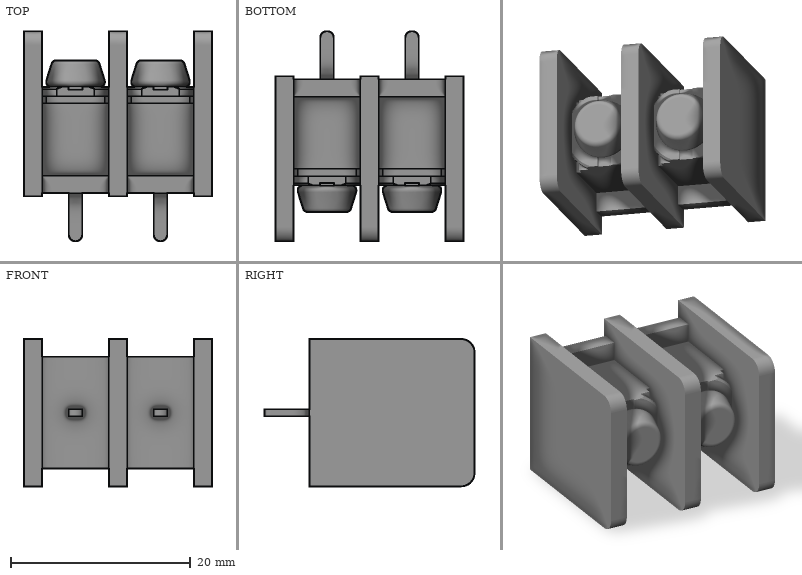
import cadquery as cq

pole_count = 2
pitch = 9.5
wall_thickness = 2.02
wall_depth = 18.47
wall_height = 16.5
wall_corner_radius = 1.53
gap_width = pitch - wall_thickness
total_width = pole_count * pitch + wall_thickness

flange_front = 0.35
flange_back = 2.33
flange_height = 12.5
core_back = 10.39
core_height = 8.18

plate_width = 6.49
plate_thickness = 0.8
plate_back = core_back + plate_thickness
ledge_height = 5.65
pin_width = 1.53
pin_thickness = 0.8
pin_length = 5.03

washer_radius = 4.6
washer_thickness = 1.03
washer_edge_chamfer = 0.24
washer_back = plate_back + washer_thickness
slot_width = pin_width
slot_depth = 0.25
head_height = 2.98
head_base_radius = 3.5
head_top_radius = 2.55
head_edge_radius = 0.56

wall_positions = [(i - pole_count / 2) * pitch for i in range(pole_count + 1)]
pole_positions = [(i - (pole_count - 1) / 2) * pitch for i in range(pole_count)]


def block(x_center, width, y_front, y_back, height):
    """Box centred on X and Z that spans Y from y_front to y_back."""
    y_center = (y_front + y_back) / 2
    return cq.Workplane("XY").box(width, y_back - y_front, height).translate((x_center, y_center, 0))


def disc_plane(x_center, y):
    """Plane at the given Y whose normal points toward +Y."""
    return cq.Workplane(cq.Plane(origin=(x_center, y, 0), xDir=(1, 0, 0), normal=(0, 1, 0)))


def make_wall(x_center):
    """Barrier wall with its two rear corners rounded."""
    wall = block(x_center, wall_thickness, 0, wall_depth, wall_height)
    return wall.edges("|X and >Y").fillet(wall_corner_radius)


def make_terminal(x_center):
    """Contact plate on the core, with a round-tipped pin that runs forward through the housing."""
    plate = block(x_center, plate_width, core_back, plate_back, core_height)
    tip_radius = pin_width / 2
    tip_center_y = tip_radius - pin_length
    pin = block(x_center, pin_width, tip_center_y, core_back, pin_thickness)
    tip = (
        cq.Workplane("XY", origin=(x_center, tip_center_y, -pin_thickness / 2))
        .circle(tip_radius)
        .extrude(pin_thickness)
    )
    return plate.union(pin).union(tip)


def make_screw(x_center):
    """Tapered round head on a chamfered washer that is trimmed to the pole and slotted along Z."""
    washer = disc_plane(x_center, plate_back).circle(washer_radius).extrude(washer_thickness)
    washer = washer.faces(">Y").edges().chamfer(washer_edge_chamfer)
    washer = washer.intersect(block(x_center, gap_width, plate_back, washer_back, core_height))
    slot = block(x_center, slot_width, washer_back - slot_depth, washer_back, core_height)
    washer = washer.cut(slot)

    head = (
        disc_plane(x_center, washer_back)
        .circle(head_base_radius)
        .workplane(offset=head_height)
        .circle(head_top_radius)
        .loft()
    )
    head = head.faces("<Y or >Y").edges().fillet(head_edge_radius)
    return washer.union(head)


def make_housing(terminals):
    """Walls joined by a flange and core at each pole, with a seat for each terminal."""
    housing = block(0, total_width, flange_front, flange_back, flange_height)
    housing = housing.union(block(0, total_width, flange_back, core_back, core_height))
    housing = housing.union(block(0, total_width, core_back, plate_back, ledge_height))
    for x_wall in wall_positions:
        housing = housing.union(make_wall(x_wall))
    for terminal in terminals:
        housing = housing.cut(terminal)
    return housing


terminals = [make_terminal(x) for x in pole_positions]
screws = [make_screw(x) for x in pole_positions]
housing = make_housing(terminals)

result = cq.Compound.makeCompound(
    [housing.val()]
    + [terminal.val() for terminal in terminals]
    + [screw.val() for screw in screws]
)